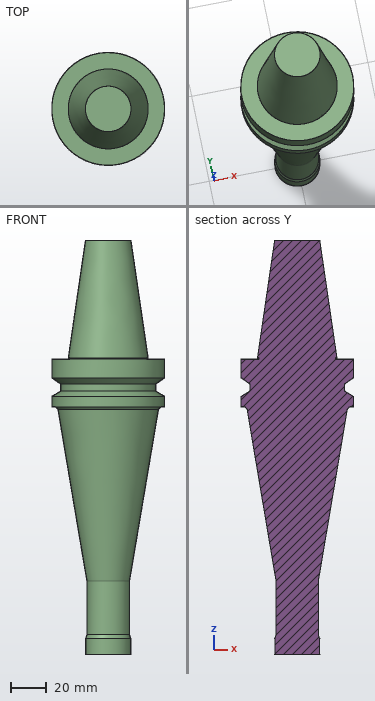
import cadquery as cq

total_length = 230.5

tip_diameter = 25.0
stem_diameter = 23.7
cone_top_diameter = 56.0
collar_diameter = 59.0
flange_diameter = 63.0
groove_diameter = 53.0
neck_diameter = 43.0
taper_base_diameter = 44.5
taper_end_diameter = 25.3

tip_top = 9.0
stem_bottom = 11.0
stem_top = 40.8
cone_top = 136.5
flange_bottom = 137.8
lower_rim_top = 143.5
groove_bottom = 146.5
groove_top = 150.5
upper_rim_bottom = 154.0
flange_top = 164.3
taper_base = 165.0

sections = [
    (tip_diameter, 0),
    (tip_diameter, tip_top),
    (stem_diameter, stem_bottom),
    (stem_diameter, stem_top),
    (cone_top_diameter, cone_top),
    (collar_diameter, flange_bottom),
    (flange_diameter, flange_bottom),
    (flange_diameter, lower_rim_top),
    (groove_diameter, groove_bottom),
    (groove_diameter, groove_top),
    (flange_diameter, upper_rim_bottom),
    (flange_diameter, flange_top),
    (neck_diameter, flange_top),
    (neck_diameter, taper_base),
    (taper_base_diameter, taper_base),
    (taper_end_diameter, total_length),
]

outline = [(diameter / 2, height) for diameter, height in sections]
half_section = cq.Workplane("XZ").polyline([(0, 0)] + outline + [(0, total_length)]).close()

result = half_section.revolve(360, (0, 0), (0, 1))